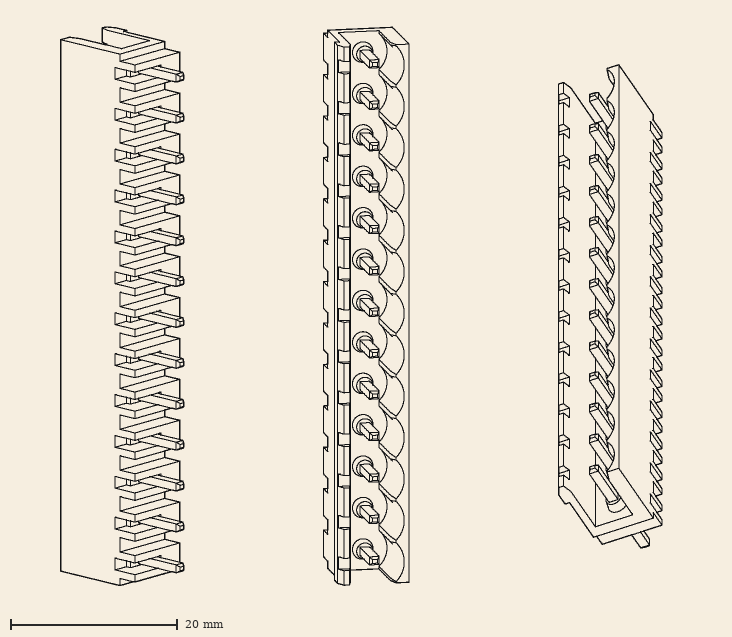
import cadquery as cq

length = 66.05
pole_count = 13
pitch = length / pole_count
pole_heights = [(pole + 0.5) * pitch for pole in range(pole_count)]

floor_x = 8.1
comb_root_x = 9.7
housing_depth = 12.15

front_wall = 2.0
back_wall_inner = 6.95
back_wall_outer = 7.9
hook_top = 8.5

hook_length = 3.0
hook_outer_lead_in = 1.2
hook_inner_lead_in = 1.25
hook_tip_inner = 7.3
hook_tip_outer = 8.0
notch_depth = 1.0
notch_width = 1.5

scallop_radius = 3.0
scallop_chamfer = 0.4
scallop_lead_in = 1.45

comb_gap = 1.8
slot_width = 1.45
shallow_slot_x = 8.9
shallow_slot_depth = 2.0
deep_slot_x = 9.6

pin_y = 3.95
pin_start_x = 1.0
pin_end_x = 16.2
pin_width_y = 1.2
pin_width_z = 1.0
pin_chamfer_length = 0.4
pin_chamfer = 0.25
collar_start_x = 6.95
collar_tip_radius = 1.0
collar_base_radius = 1.25


def block(x_range, y_range, z_range):
    """Box spanning the given (low, high) pairs."""
    sizes = [high - low for low, high in (x_range, y_range, z_range)]
    corner = (x_range[0], y_range[0], z_range[0])
    return cq.Workplane("XY").box(*sizes, centered=False).translate(corner)


def centred(height, width):
    """Z range of the given width around a height."""
    return (height - width / 2, height + width / 2)


def channel_housing():
    """U-shaped channel with the hook on its back wall."""
    outline = [
        (0, 0),
        (housing_depth, 0),
        (housing_depth, back_wall_outer),
        (hook_length, back_wall_outer),
        (hook_length, hook_top),
        (hook_outer_lead_in, hook_top),
        (0, hook_tip_outer),
        (0, hook_tip_inner),
        (hook_inner_lead_in, back_wall_inner),
        (floor_x, back_wall_inner),
        (floor_x, front_wall),
        (scallop_lead_in, front_wall),
        (0, front_wall - scallop_chamfer),
    ]
    return cq.Workplane("XY").polyline(outline).close().extrude(length)


def revolved(profile, height):
    """Solid of revolution about the pin axis; the profile holds (x, radius) points."""
    solid = cq.Workplane("XY").polyline(profile).close().revolve(360, (0, 0, 0), (1, 0, 0))
    return solid.translate((0, pin_y, height))


def scallop(height):
    """Round recess in the front wall, widening toward the mating edge."""
    profile = [
        (0, 0),
        (0, scallop_radius + scallop_chamfer),
        (scallop_lead_in, scallop_radius),
        (floor_x, scallop_radius),
        (floor_x, 0),
    ]
    wall_zone = block((0, floor_x), (0, front_wall), (0, length))
    return revolved(profile, height).intersect(wall_zone)


def tail_slot(height):
    """Stepped slot that opens the rear comb around a pin tail."""
    slot_range = centred(height, slot_width)
    shallow = block((shallow_slot_x, housing_depth), (0, shallow_slot_depth), slot_range)
    deep = block((deep_slot_x, housing_depth), (0, pin_y + pin_width_y / 2), slot_range)
    return shallow.union(deep)


def hook_notch(height):
    """Gap between neighbouring hook teeth."""
    return block((0, notch_depth), (back_wall_inner, hook_top), centred(height, notch_width))


def comb_notch(height):
    """Gap between neighbouring comb teeth."""
    return block((comb_root_x, housing_depth), (0, back_wall_outer), centred(height, comb_gap))


def pin_tip(start_x, end_x, height):
    """Tapered pin end, narrowing from start_x to end_x."""
    return (
        cq.Workplane("YZ", origin=(start_x, pin_y, height))
        .rect(pin_width_y, pin_width_z)
        .workplane(offset=end_x - start_x)
        .rect(pin_width_y - 2 * pin_chamfer, pin_width_z - 2 * pin_chamfer)
        .loft(ruled=True)
    )


def pin(height):
    """Rectangular pin with both ends tapered, plus the conical collar at the floor."""
    shank_start = pin_start_x + pin_chamfer_length
    shank_end = pin_end_x - pin_chamfer_length
    shank = block((shank_start, shank_end), centred(pin_y, pin_width_y), centred(height, pin_width_z))
    collar = revolved(
        [
            (collar_start_x, 0),
            (collar_start_x, collar_tip_radius),
            (floor_x, collar_base_radius),
            (floor_x, 0),
        ],
        height,
    )
    mating_tip = pin_tip(shank_start, pin_start_x, height)
    tail_tip = pin_tip(shank_end, pin_end_x, height)
    return shank.union(mating_tip).union(tail_tip).union(collar)


recesses = []
pins = []
for pole_height in pole_heights:
    recesses += [scallop(pole_height), tail_slot(pole_height), hook_notch(pole_height)]
    pins.append(pin(pole_height))

recesses += [comb_notch(boundary * pitch) for boundary in range(pole_count + 1)]

housing = channel_housing().val().cut(*[recess.val() for recess in recesses])
header = housing.fuse(*[pole_pin.val() for pole_pin in pins]).clean()
result = cq.Workplane("XY").newObject(header.Solids())